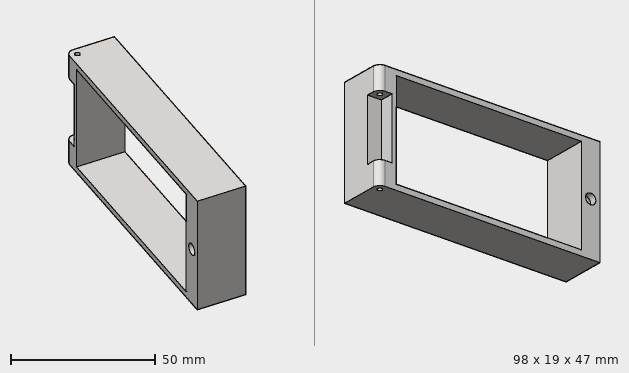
import cadquery as cq

length = 98.0
depth = 19.0
height = 47.0

left_wall = 7.9
right_wall = 8.2
rim = 2.45

hinge_radius = 2.8
pin_diameter = 2.0
pin_inset = 2.9
notch_size = 6.1
notch_height = 26.9

pocket_diameter = 4.5
pocket_depth = 2.9
pocket_x = length - right_wall / 2


def corner_box(x_size, y_size, z_size):
    """Box with its minimum corner at the origin."""
    return cq.Workplane("XY").box(x_size, y_size, z_size, centered=False)


body = corner_box(length, depth, height)
body = body.edges("|Z and <X and <Y").fillet(hinge_radius)

window = corner_box(length - left_wall - right_wall, depth, height - 2 * rim)
window = window.translate((left_wall, 0, rim))

notch = corner_box(notch_size, notch_size, notch_height)
notch = notch.translate((0, 0, (height - notch_height) / 2))

pin_hole = (
    cq.Workplane("XY")
    .center(pin_inset, pin_inset)
    .circle(pin_diameter / 2)
    .extrude(height)
)

pocket = (
    cq.Workplane("XZ")
    .center(pocket_x, height / 2)
    .circle(pocket_diameter / 2)
    .extrude(-pocket_depth)
)

result = body.cut(window).cut(notch).cut(pin_hole).cut(pocket)